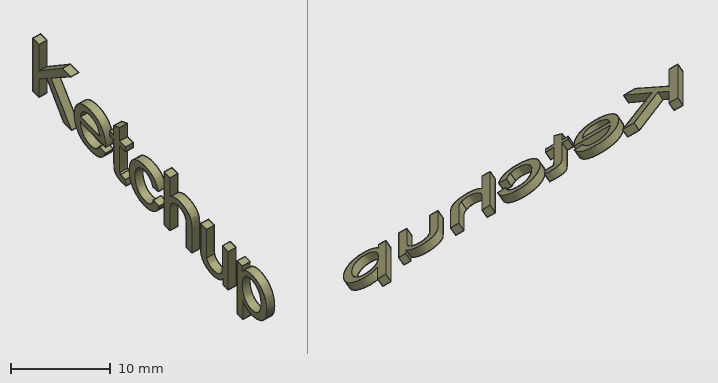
import cadquery as cq


word_length = 39.75
thickness = 1.0
baseline = 0.0
cap_height = 8.0
x_height = 5.8
descent = 2.2
overshoot = 0.1
round_top = x_height + overshoot
round_bottom = baseline - overshoot
stem = 1.0
bow_thickness = 0.8
bowl_floor = round_bottom + bow_thickness
bowl_ceiling = round_top - bow_thickness
quarter_reach = 0.46

k_width = 6.6
e_width = 5.33
t_foot_width = 2.82
h_width = 4.75
u_width = 4.7
p_width = 5.05

k_left = 0.0
e_left = 7.05
t_left = 13.05
c_left = 16.4
h_left = 22.3
u_left = 28.5
p_left = word_length - p_width


def start_outline(x, z):
    return cq.Workplane("XZ").moveTo(x, z)


def round_stretch(path, controls, end):
    """Smooth run of quadratic curves that join midway between their control points."""
    joints = [((ax + bx) / 2, (az + bz) / 2) for (ax, az), (bx, bz) in zip(controls, controls[1:])]
    joints.append(end)
    for control, joint in zip(controls, joints):
        path = path.bezier([control, joint], includeCurrent=True)
    return path


def quarter(path, start, end, leaves_flat):
    """Quarter bow from start to end, leaving along X when leaves_flat and along Z otherwise."""
    run = quarter_reach * (end[0] - start[0])
    rise = quarter_reach * (end[1] - start[1])
    if leaves_flat:
        controls = [(start[0] + run, start[1]), (end[0], end[1] - rise)]
    else:
        controls = [(start[0], start[1] + rise), (end[0] - run, end[1])]
    return round_stretch(path, controls, end)


def oval(left, bottom, right, top):
    """Closed outline of four quarter bows."""
    mid_x = (left + right) / 2
    mid_z = (bottom + top) / 2
    west = (left, mid_z)
    north = (mid_x, top)
    east = (right, mid_z)
    south = (mid_x, bottom)
    path = start_outline(*west)
    path = quarter(path, west, north, False)
    path = quarter(path, north, east, True)
    path = quarter(path, east, south, False)
    path = quarter(path, south, west, True)
    return path.close()


def plate(outline):
    """Raise a closed outline from the Y = 0 face toward +Y."""
    return outline.extrude(-thickness)


def letter_k():
    k_stem = 1.07
    arm_root = 4.0
    arm_underside = 2.8
    arm_tip_left = 5.05
    arm_tip_right = 6.5
    leg_tip_left = 5.2
    crotch = (3.1, 4.77)
    leg_root = (2.4, 4.05)
    return plate(
        start_outline(0, baseline)
        .lineTo(0, cap_height)
        .lineTo(k_stem, cap_height)
        .lineTo(k_stem, arm_root)
        .lineTo(arm_tip_left, cap_height)
        .lineTo(arm_tip_right, cap_height)
        .lineTo(*crotch)
        .lineTo(k_width, baseline)
        .lineTo(leg_tip_left, baseline)
        .lineTo(*leg_root)
        .lineTo(k_stem, arm_underside)
        .lineTo(k_stem, baseline)
        .close()
    )


def letter_e():
    bar_bottom = 2.65
    bar_top = 3.45
    bar_left = 1.05
    outer_bottom = (2.75, round_bottom)
    outer_left = (0, 2.85)
    outer_top = (2.7, round_top)
    outer_right = (e_width, 2.9)
    inner_bottom = (2.8, bowl_floor)
    tail_inner = (4.3, 1.85)
    tail_outer = (5.3, 1.75)

    path = start_outline(*tail_inner).lineTo(*tail_outer)
    path = round_stretch(path, [(5.05, 0.85), (3.78, round_bottom)], outer_bottom)
    path = quarter(path, outer_bottom, outer_left, True)
    path = quarter(path, outer_left, outer_top, False)
    path = quarter(path, outer_top, outer_right, True)
    path = path.lineTo(e_width, bar_bottom).lineTo(bar_left, bar_bottom)
    path = round_stretch(path, [(1.07, 1.7), (2.03, bowl_floor)], inner_bottom)
    path = round_stretch(path, [(3.3, bowl_floor), (4.05, 1.25)], tail_inner)
    body = plate(path.close())

    eye_left = 1.07
    eye_right = 4.3
    eye_shoulder = (3.95, 4.57)
    eye_top = (2.7, bowl_ceiling)
    eye = start_outline(eye_left, bar_top).lineTo(eye_right, bar_top)
    eye = round_stretch(eye, [(4.25, 4.17)], eye_shoulder)
    eye = round_stretch(eye, [(3.45, bowl_ceiling)], eye_top)
    eye = round_stretch(eye, [(2.03, bowl_ceiling), (1.1, 4.2)], (eye_left, bar_top))
    return body.cut(plate(eye.close()))


def letter_t():
    stem_left = 0.7
    stem_right = stem_left + stem
    bar_right = 2.7
    bar_bottom = 5.05
    slant_low = 7.25
    slant_high = 7.85
    foot_bottom = -0.08
    foot_top = 0.85
    foot_lip = (bar_right, 0.87)

    path = start_outline(*foot_lip).lineTo(t_foot_width, baseline)
    path = round_stretch(path, [(2.43, foot_bottom)], (2.1, foot_bottom))
    path = round_stretch(path, [(1.55, foot_bottom), (0.95, 0.28), (stem_left, 0.8)], (stem_left, 1.7))
    path = (
        path.lineTo(stem_left, bar_bottom)
        .lineTo(0, bar_bottom)
        .lineTo(0, x_height)
        .lineTo(stem_left, x_height)
        .lineTo(stem_left, slant_low)
        .lineTo(stem_right, slant_high)
        .lineTo(stem_right, x_height)
        .lineTo(bar_right, x_height)
        .lineTo(bar_right, bar_bottom)
        .lineTo(stem_right, bar_bottom)
        .lineTo(stem_right, 1.65)
    )
    path = round_stretch(path, [(stem_right, 1.25), (1.8, 1.0), (2.03, foot_top)], (2.25, foot_top))
    path = round_stretch(path, [(2.43, foot_top)], foot_lip)
    return plate(path.close())


def letter_c():
    outer_bottom = (2.62, round_bottom)
    outer_left = (0, 2.85)
    outer_top = (2.65, round_top)
    inner_top = (2.65, bowl_ceiling)
    inner_left = (stem, 2.9)
    inner_bottom = (2.62, bowl_floor)
    lower_tip_inner = (4.1, 2.1)
    lower_tip_outer = (5.05, 2.0)
    upper_tip_outer = (4.95, 4.1)
    upper_tip_inner = (3.98, 3.98)

    path = start_outline(*lower_tip_inner).lineTo(*lower_tip_outer)
    path = round_stretch(path, [(4.9, 1.0), (3.58, round_bottom)], outer_bottom)
    path = quarter(path, outer_bottom, outer_left, True)
    path = round_stretch(path, [(0, 3.8), (0.65, 5.2), (1.9, round_top)], outer_top)
    path = round_stretch(path, [(3.58, round_top), (4.77, 4.97)], upper_tip_outer)
    path = path.lineTo(*upper_tip_inner)
    path = round_stretch(path, [(3.85, 4.55), (3.2, bowl_ceiling)], inner_top)
    path = quarter(path, inner_top, inner_left, True)
    path = quarter(path, inner_left, inner_bottom, False)
    path = round_stretch(path, [(3.22, bowl_floor), (3.98, 1.4)], lower_tip_inner)
    return plate(path.close())


def letter_h():
    leg_left = h_width - stem
    shoulder = 3.65
    arch_ceiling = 5.05
    arch_root_top = 5.13
    arch_root_bottom = 3.2
    arch_inner_top = (2.55, arch_ceiling)
    leg_inner_top = (leg_left, shoulder)

    path = (
        start_outline(0, baseline)
        .lineTo(0, cap_height)
        .lineTo(stem, cap_height)
        .lineTo(stem, arch_root_top)
    )
    path = round_stretch(path, [(1.67, round_top)], (2.7, round_top))
    path = round_stretch(path, [(3.38, round_top), (4.35, 5.4), (h_width, 4.55)], (h_width, shoulder))
    path = path.lineTo(h_width, baseline).lineTo(leg_left, baseline).lineTo(*leg_inner_top)
    path = quarter(path, leg_inner_top, arch_inner_top, False)
    path = round_stretch(path, [(2.1, arch_ceiling), (1.4, 4.6), (stem, 3.85)], (stem, arch_root_bottom))
    return plate(path.lineTo(stem, baseline).close())


def letter_u():
    leg_left = u_width - stem
    foot_left = 3.8
    cup_floor = 0.7
    notch_top = 0.85

    path = start_outline(foot_left, baseline).lineTo(foot_left, notch_top)
    path = round_stretch(path, [(3.15, round_bottom)], (2.0, round_bottom))
    path = round_stretch(path, [(1.47, round_bottom), (0.6, 0.28), (0.15, 0.87)], (0.05, 1.27))
    path = round_stretch(path, [(0, 1.55)], (0, 2.2))
    path = path.lineTo(0, x_height).lineTo(stem, x_height).lineTo(stem, 2.6)
    path = round_stretch(path, [(stem, 1.83)], (1.05, 1.55))
    path = round_stretch(path, [(1.15, 1.15), (1.75, cup_floor)], (2.2, cup_floor))
    path = round_stretch(path, [(2.6, cup_floor), (3.38, 1.15), (leg_left, 1.95)], (leg_left, 2.7))
    path = path.lineTo(leg_left, x_height).lineTo(u_width, x_height).lineTo(u_width, baseline)
    return plate(path.close())


def letter_p():
    neck_width = 0.87
    bowl_root_top = 5.05
    bowl_root_bottom = 0.6
    bowl_top = (2.6, round_top)
    bowl_right = (p_width, 2.95)
    bowl_bottom = (2.5, round_bottom)

    path = (
        start_outline(0, -descent)
        .lineTo(0, x_height)
        .lineTo(neck_width, x_height)
        .lineTo(neck_width, bowl_root_top)
    )
    path = round_stretch(path, [(1.2, 5.5), (2.03, round_top)], bowl_top)
    path = round_stretch(path, [(3.35, round_top), (4.45, 5.15), (p_width, 3.78)], bowl_right)
    path = round_stretch(path, [(p_width, 2.03), (4.4, 0.6), (3.2, round_bottom)], bowl_bottom)
    path = round_stretch(path, [(2.03, round_bottom), (1.25, 0.28)], (stem, bowl_root_bottom))
    body = plate(path.lineTo(stem, -descent).close())

    counter_top = 5.15
    counter_right = p_width - stem
    return body.cut(plate(oval(neck_width, bowl_floor, counter_right, counter_top)))


letters = [
    (letter_k, k_left),
    (letter_e, e_left),
    (letter_t, t_left),
    (letter_c, c_left),
    (letter_h, h_left),
    (letter_u, u_left),
    (letter_p, p_left),
]
bodies = [make_letter().translate((left, 0, 0)).solids().val() for make_letter, left in letters]

result = cq.Compound.makeCompound(bodies)